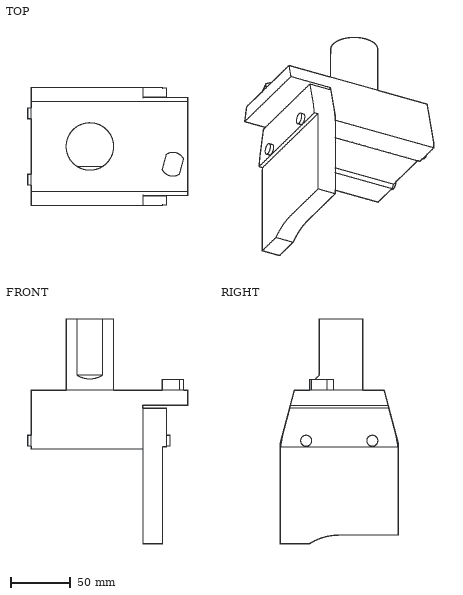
import cadquery as cq
import math


total_height = 190

body_left = -49.5
body_right = 82.8
body_height = 49.8
body_half_width = 50.0
top_half_width = 38.0
shoulder_depth = 45.0
flange_thickness = 13.0
step_x = 44.8

groove_depth = 2.8
groove_roof_half_width = 22.0

shank_diameter = 40.0
shank_height = 60.0
flat_offset = 17.0
flat_bottom = 12.5

stud_diameter = 20.1
stud_width = 15.0
stud_height = 9.1
stud_x = 70.1
stud_y = -15.0
stud_angle = -15

clamp_thickness = 20.0
clamp_recess = 0.4
clamp_top_depth = 15.2
clamp_bend_depth = 38.2
clamp_bottom_depth = 47.9
plate_thickness = 16.5
plate_shoulder_depth = 50.4
plate_bottom_depth = total_height - shank_height
relief_height = 7.5
relief_edge_y = -25.5

pin_diameter = 9.3
pin_half_spacing = 28.0
pin_depth = 42.8
pin_length = 3.0

side_slope = (body_half_width - top_half_width) / shoulder_depth


def half_width_at(depth):
    """Half width of the tapered body at a depth below its top face."""
    return top_half_width + side_slope * depth


def symmetric_prism(half_outline, start_x, end_x):
    """Mirror (y, z) points about the XZ plane and extrude along X."""
    mirrored = [(-y, z) for y, z in reversed(half_outline)]
    profile = cq.Workplane("YZ", origin=(start_x, 0, 0)).polyline(half_outline + mirrored)
    return profile.close().extrude(end_x - start_x)


def make_body():
    groove_edge = groove_roof_half_width + groove_depth
    block = symmetric_prism(
        [
            (top_half_width, 0),
            (body_half_width, -shoulder_depth),
            (body_half_width, -body_height),
            (groove_edge, -body_height),
            (groove_roof_half_width, groove_depth - body_height),
        ],
        body_left,
        step_x,
    )
    flange = symmetric_prism(
        [(top_half_width, 0), (half_width_at(flange_thickness), -flange_thickness)],
        step_x,
        body_right,
    )
    return block.union(flange)


def make_shank():
    radius = shank_diameter / 2
    shank = cq.Workplane("XY").circle(radius).extrude(shank_height)
    runout_bottom = flat_bottom - (radius - flat_offset)
    flat_cut = (
        cq.Workplane("YZ")
        .polyline([
            (-flat_offset, shank_height),
            (-flat_offset, flat_bottom),
            (-radius, runout_bottom),
            (-radius, shank_height),
        ])
        .close()
        .extrude(radius, both=True)
    )
    return shank.cut(flat_cut)


def make_stud():
    stud = cq.Workplane("XY").circle(stud_diameter / 2).extrude(stud_height)
    flats = cq.Workplane("XY").rect(stud_width, stud_diameter).extrude(stud_height)
    stud = stud.intersect(flats)
    return stud.rotate((0, 0, 0), (0, 0, 1), stud_angle).translate((stud_x, stud_y, 0))


def make_clamp_plate():
    upper_outline = [
        (half_width_at(clamp_top_depth) - clamp_recess, -clamp_top_depth),
        (half_width_at(clamp_bend_depth) - clamp_recess, -clamp_bend_depth),
        (body_half_width, -plate_shoulder_depth),
    ]
    upper = symmetric_prism(upper_outline, step_x, step_x + clamp_thickness)
    underside_cut = cq.Workplane("XY").box(
        clamp_thickness - plate_thickness,
        2 * body_half_width,
        plate_shoulder_depth - clamp_bottom_depth,
        centered=(False, True, False),
    ).translate((step_x + plate_thickness, 0, -plate_shoulder_depth))

    relief_z = relief_height - plate_bottom_depth
    relief_radius = (relief_edge_y**2 + relief_height**2) / (2 * relief_height)
    half_sweep = math.asin(-relief_edge_y / relief_radius) / 2
    arc_middle = (
        -relief_radius * math.sin(half_sweep),
        relief_z - relief_radius * (1 - math.cos(half_sweep)),
    )
    plate = (
        cq.Workplane("YZ", origin=(step_x, 0, 0))
        .moveTo(body_half_width, -plate_shoulder_depth)
        .lineTo(body_half_width, relief_z)
        .lineTo(0, relief_z)
        .threePointArc(arc_middle, (relief_edge_y, -plate_bottom_depth))
        .lineTo(-body_half_width, -plate_bottom_depth)
        .lineTo(-body_half_width, -plate_shoulder_depth)
        .close()
        .extrude(plate_thickness)
    )
    return upper.cut(underside_cut).union(plate)


def make_pins(start_x):
    """Pair of pins extending in +X from start_x."""
    return (
        cq.Workplane("YZ", origin=(start_x, 0, -pin_depth))
        .pushPoints([(-pin_half_spacing, 0), (pin_half_spacing, 0)])
        .circle(pin_diameter / 2)
        .extrude(pin_length)
    )


result = make_body().union(make_clamp_plate()).union(make_shank()).union(make_stud())
for pin_start_x in (body_left - pin_length, step_x + clamp_thickness):
    result = result.union(make_pins(pin_start_x))